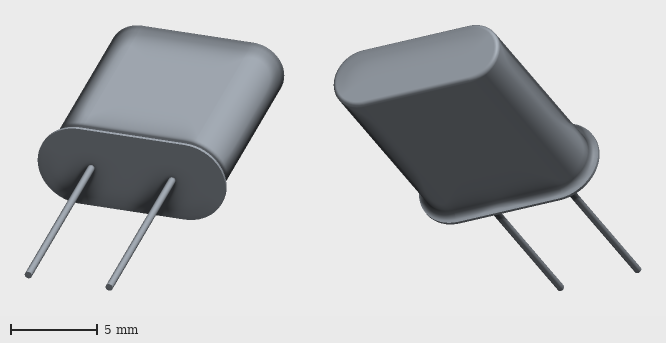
import cadquery as cq


flange_width = 11.35
flange_height = 5.0
flange_thickness = 0.2

can_width = 10.5
can_height = 3.8
body_length = 13.46
top_edge_radius = 0.25
base_fillet_radius = 0.4

lead_diameter = 0.43
lead_pitch = 4.88
lead_length = 12.7


def rounded_bar(width, height, start_y, end_y):
    """Extrude a full-round slot outline, lying in XZ, from start_y to end_y."""
    return (
        cq.Workplane("XZ", origin=(0, start_y, 0))
        .slot2D(width, height)
        .extrude(start_y - end_y)
    )


def make_flange():
    return rounded_bar(flange_width, flange_height, 0, flange_thickness)


def make_can():
    can = rounded_bar(can_width, can_height, flange_thickness, body_length)
    return can.faces(">Y").edges().fillet(top_edge_radius)


def fillet_can_base(body):
    """Round the inside corner where the can meets the flange."""
    join_margin = flange_thickness / 2
    half_width = can_width / 2 + join_margin
    half_height = can_height / 2 + join_margin
    can_base_edges = cq.selectors.BoxSelector(
        (-half_width, flange_thickness - join_margin, -half_height),
        (half_width, flange_thickness + join_margin, half_height),
        boundingbox=True,
    )
    return body.edges(can_base_edges).fillet(base_fillet_radius)


def make_leads():
    return (
        cq.Workplane("XZ")
        .pushPoints([(-lead_pitch / 2, 0), (lead_pitch / 2, 0)])
        .circle(lead_diameter / 2)
        .extrude(lead_length)
    )


body = fillet_can_base(make_flange().union(make_can()))
result = body.union(make_leads())